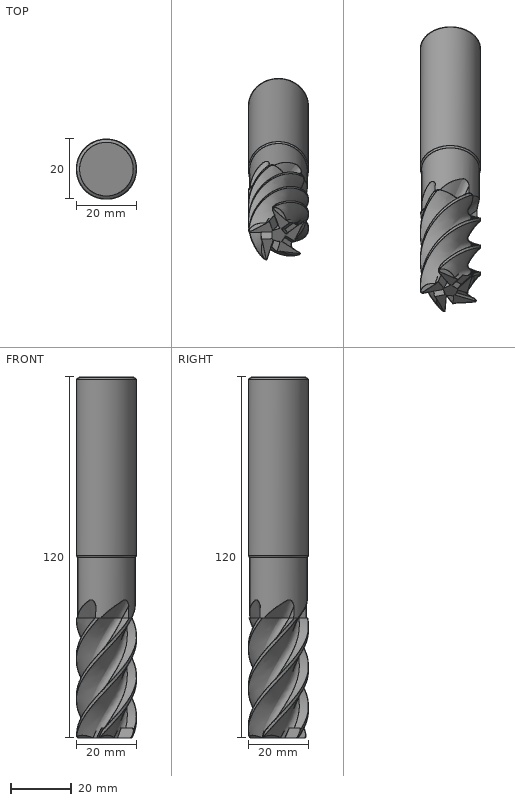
import cadquery as cq
import math

LENGTH = 120.0
TOOL_RADIUS = LENGTH / 12
CUTTER_LENGTH = LENGTH / 3

NECK_RADIUS = 9.6
NECK_TOP = LENGTH / 2
NECK_CONE_HEIGHT = 0.7
TOP_CHAMFER_WIDTH = 1.1
TOP_CHAMFER_HEIGHT = 0.7

FLUTE_COUNT = 5
FLUTE_PITCH = 360 / FLUTE_COUNT
LEAD = 66.6
TWIST = 360 * CUTTER_LENGTH / LEAD
TOP_EDGE_ANGLE = -112.0
BOTTOM_EDGE_ANGLE = TOP_EDGE_ANGLE - TWIST
LAND_ANGLE = 8.0
RELIEF_MID_ANGLE = 26.0
RELIEF_MID_RADIUS = 7.8
CORE_ANGLE = 46.0
CORE_RADIUS = 6.0
FLOOR_MID_ANGLE = 60.0
FLOOR_MID_RADIUS = 5.9
RAKE_FOOT_ANGLE = 71.0
RAKE_FOOT_RADIUS = 7.0

RUNOUT_HEIGHT = 6.2
RUNOUT_SHIFT = 4.2
RAKE_HOOK_ANGLE = 5.0
RUNOUT_CLEARANCE = 1.2

CORNER_RADIUS = 1.0
GASH_HEIGHT = 3.4
GASH_INNER_RADIUS = 2.2
GASH_WALL_FOOT = 1.2
GASH_WALL_TOP = 2.9
GASH_FRONT_FOOT = -1.2
GASH_FRONT_TOP = 0.6
BEVEL_INSET = 0.1
BEVEL_REACH = 2.3
BEVEL_HEIGHT = 2.2


def polar(radius, angle):
    turn = math.radians(angle)
    return radius * math.cos(turn), radius * math.sin(turn)


def add_flute_floor(outline, start):
    """Continue an outline from a land's rear edge, through one flute, to the next cutting edge."""
    return (
        outline.threePointArc(
            polar(RELIEF_MID_RADIUS, start + RELIEF_MID_ANGLE),
            polar(CORE_RADIUS, start + CORE_ANGLE),
        )
        .threePointArc(
            polar(FLOOR_MID_RADIUS, start + FLOOR_MID_ANGLE),
            polar(RAKE_FOOT_RADIUS, start + RAKE_FOOT_ANGLE),
        )
        .lineTo(*polar(TOOL_RADIUS, start + FLUTE_PITCH))
    )


def make_runout(start):
    """Flute cross-section moved straight up and outward along the rake face until it leaves the neck."""
    outline = cq.Workplane("XY").workplane(offset=CUTTER_LENGTH)
    outline = outline.moveTo(*polar(TOOL_RADIUS, start + LAND_ANGLE))
    outline = add_flute_floor(outline, start)
    outer_radius = TOOL_RADIUS + RUNOUT_CLEARANCE
    outline = outline.lineTo(*polar(outer_radius, start + FLUTE_PITCH))
    outline = outline.lineTo(*polar(outer_radius, start + CORE_ANGLE))
    outline = outline.lineTo(*polar(outer_radius, start + LAND_ANGLE))
    section = cq.Face.makeFromWires(outline.close().val())

    rake_angle = start + FLUTE_PITCH + RAKE_HOOK_ANGLE
    shift_x, shift_y = polar(RUNOUT_SHIFT, rake_angle)
    return cq.Workplane(cq.Solid.extrudeLinear(section, cq.Vector(shift_x, shift_y, RUNOUT_HEIGHT)))


def make_shank():
    """Chamfered shank with a reduced neck that the flutes run out into."""
    shank = (
        cq.Workplane("XZ")
        .moveTo(0, CUTTER_LENGTH)
        .lineTo(NECK_RADIUS, CUTTER_LENGTH)
        .lineTo(NECK_RADIUS, NECK_TOP)
        .lineTo(TOOL_RADIUS, NECK_TOP + NECK_CONE_HEIGHT)
        .lineTo(TOOL_RADIUS, LENGTH - TOP_CHAMFER_HEIGHT)
        .lineTo(TOOL_RADIUS - TOP_CHAMFER_WIDTH, LENGTH)
        .lineTo(0, LENGTH)
        .close()
        .revolve(360, (0, 0), (0, 1))
    )
    for flute in range(FLUTE_COUNT):
        shank = shank.cut(make_runout(TOP_EDGE_ANGLE + flute * FLUTE_PITCH))
    return shank


def make_fluted_bar():
    """Five-flute cross-section twisted along the length of the cutter."""
    outline = cq.Workplane("XY").moveTo(*polar(TOOL_RADIUS, BOTTOM_EDGE_ANGLE))
    for flute in range(FLUTE_COUNT):
        start = BOTTOM_EDGE_ANGLE + flute * FLUTE_PITCH
        outline = outline.threePointArc(
            polar(TOOL_RADIUS, start + LAND_ANGLE / 2),
            polar(TOOL_RADIUS, start + LAND_ANGLE),
        )
        outline = add_flute_floor(outline, start)
    return outline.close().twistExtrude(CUTTER_LENGTH, TWIST)


def make_corner_envelope():
    """Cylinder with the rounded bottom corner that every tooth shares."""
    return (
        cq.Workplane("XY")
        .circle(TOOL_RADIUS)
        .extrude(CUTTER_LENGTH)
        .faces("<Z")
        .edges()
        .fillet(CORNER_RADIUS)
    )


def make_gash(edge_angle):
    """Notch that squares up the rake face of one tooth at the cutting end."""
    frame = cq.Plane(
        origin=(*polar(GASH_INNER_RADIUS, edge_angle), 0),
        xDir=(*polar(1, edge_angle + 90), 0),
        normal=(*polar(1, edge_angle), 0),
    )
    return (
        cq.Workplane(frame)
        .moveTo(GASH_WALL_FOOT, 0)
        .lineTo(GASH_WALL_TOP, GASH_HEIGHT)
        .lineTo(GASH_FRONT_TOP, GASH_HEIGHT)
        .lineTo(GASH_FRONT_FOOT, 0)
        .close()
        .extrude(TOOL_RADIUS)
    )


def make_end_bevel(edge_angle):
    """Wedge along the back of one tooth that bevels its bottom edge, from land to core."""
    land_end = cq.Vector(*polar(TOOL_RADIUS, edge_angle + LAND_ANGLE))
    core_end = cq.Vector(*polar(CORE_RADIUS, edge_angle + CORE_ANGLE))
    back = core_end - land_end
    outward = back.cross(cq.Vector(0, 0, 1))
    frame = cq.Plane(origin=land_end, xDir=outward, normal=back)
    return (
        cq.Workplane(frame)
        .moveTo(-BEVEL_INSET, 0)
        .lineTo(BEVEL_REACH, -BEVEL_HEIGHT)
        .lineTo(BEVEL_REACH, 0)
        .close()
        .extrude(back.Length)
    )


def make_cutter():
    """Fluted cutting end with rounded corners, gashes and bevelled tooth ends."""
    cutter = make_fluted_bar().intersect(make_corner_envelope())
    for flute in range(FLUTE_COUNT):
        edge_angle = BOTTOM_EDGE_ANGLE + flute * FLUTE_PITCH
        cutter = cutter.cut(make_gash(edge_angle))
        cutter = cutter.cut(make_end_bevel(edge_angle))
    return cutter


shank = make_shank()
cutter = make_cutter()

result = cq.Compound.makeCompound([shank.val(), cutter.val()])